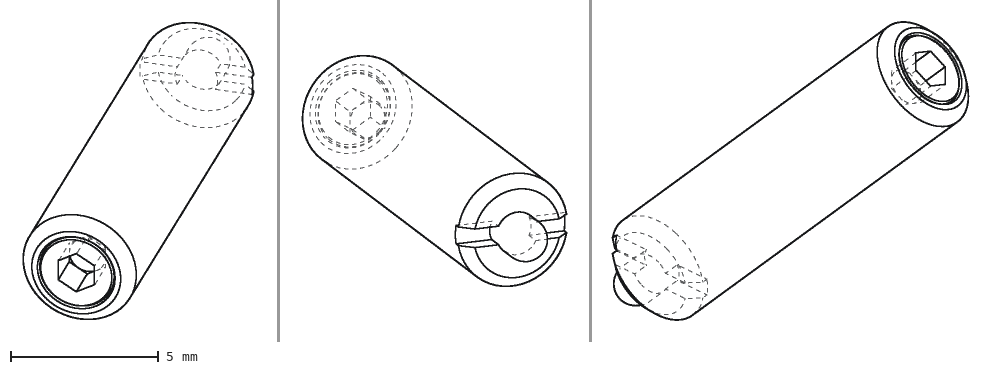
import cadquery as cq
import math

total_length = 16.5
body_diameter = 4.0
nose_diameter = 1.5
nose_length = 1.5

end_face_radius = 1.57
chamfer_length = 0.41

slot_width = 0.66
slot_depth = 0.63

groove_outer_radius = 1.37
groove_inner_radius = 1.25
groove_depth = 0.08
hex_across_flats = 1.27
hex_depth = 1.32
drill_point_angle = 118.0

body_radius = body_diameter / 2
nose_radius = nose_diameter / 2
body_length = total_length - nose_length
drive_face_y = -total_length / 2
slotted_face_y = drive_face_y + body_length
tip_y = total_length / 2


def drive_plane():
    """Plane on the drive face whose normal points into the body (+Y)."""
    return cq.Plane(origin=(0, drive_face_y, 0), xDir=(1, 0, 0), normal=(0, 1, 0))


def make_body():
    """Round bar with a conical chamfer at each end."""
    return (
        cq.Workplane("XY")
        .moveTo(0, drive_face_y)
        .lineTo(end_face_radius, drive_face_y)
        .lineTo(body_radius, drive_face_y + chamfer_length)
        .lineTo(body_radius, slotted_face_y - chamfer_length)
        .lineTo(end_face_radius, slotted_face_y)
        .lineTo(0, slotted_face_y)
        .close()
        .revolve(360, (0, 0, 0), (0, 1, 0))
    )


def make_slot():
    """Slot across the full body width, along X."""
    return cq.Workplane("XY").box(body_diameter, slot_depth, slot_width).translate(
        (0, slotted_face_y - slot_depth / 2, 0)
    )


def make_nose():
    """Pin with a hemispherical end, rooted at the slot floor."""
    root_y = slotted_face_y - slot_depth
    shoulder_y = tip_y - nose_radius
    arc_offset = nose_radius * math.sqrt(0.5)
    return (
        cq.Workplane("XY")
        .moveTo(0, root_y)
        .lineTo(nose_radius, root_y)
        .lineTo(nose_radius, shoulder_y)
        .threePointArc((arc_offset, shoulder_y + arc_offset), (0, tip_y))
        .close()
        .revolve(360, (0, 0, 0), (0, 1, 0))
    )


def make_groove():
    """V-shaped ring groove around the hex socket."""
    return (
        cq.Workplane("XY")
        .moveTo(groove_inner_radius, drive_face_y)
        .lineTo(groove_outer_radius, drive_face_y)
        .lineTo((groove_inner_radius + groove_outer_radius) / 2, drive_face_y + groove_depth)
        .close()
        .revolve(360, (0, 0, 0), (0, 1, 0))
    )


def make_hex_socket():
    """Hexagonal socket, corners at +Z and -Z, ending in a drill point."""
    across_corners = hex_across_flats / math.cos(math.radians(30))
    drill_radius = hex_across_flats / 2
    point_depth = drill_radius / math.tan(math.radians(drill_point_angle / 2))
    hexagon = (
        cq.Workplane(drive_plane())
        .transformed(rotate=(0, 0, 90))
        .polygon(6, across_corners)
        .extrude(hex_depth)
    )
    floor_y = drive_face_y + hex_depth
    drill_point = cq.Workplane(
        cq.Solid.makeCone(drill_radius, 0, point_depth, cq.Vector(0, floor_y, 0), cq.Vector(0, 1, 0))
    )
    return hexagon.union(drill_point)


result = make_body().cut(make_slot()).union(make_nose()).cut(make_groove()).cut(make_hex_socket())